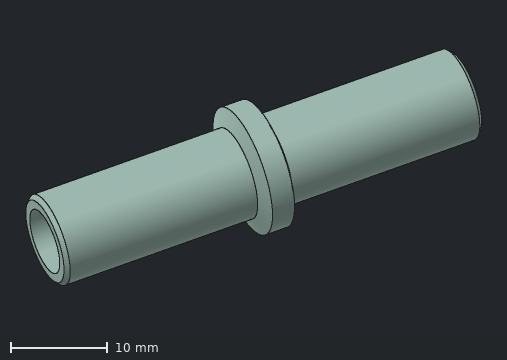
import cadquery as cq

length = 48.0
tube_diameter = 10.0
bore_diameter = 7.0
end_chamfer = 0.5
collar_diameter = 14.0
collar_base_width = 4.0
collar_rim_width = 2.55


def centred_cylinder(diameter, height):
    """Solid cylinder along Y, centred on the origin."""
    return cq.Workplane("XZ").circle(diameter / 2).extrude(height / 2, both=True)


def collar():
    """Central ring whose flanks taper from the tube surface out to the rim."""
    tube_radius = tube_diameter / 2
    rim_radius = collar_diameter / 2
    half_base = collar_base_width / 2
    half_rim = collar_rim_width / 2
    profile = [
        (0, -half_base),
        (tube_radius, -half_base),
        (rim_radius, -half_rim),
        (rim_radius, half_rim),
        (tube_radius, half_base),
        (0, half_base),
    ]
    return cq.Workplane("XY").polyline(profile).close().revolve(360, (0, 0, 0), (0, 1, 0))


tube = centred_cylinder(tube_diameter, length).faces("<Y or >Y").chamfer(end_chamfer)

bore = centred_cylinder(bore_diameter, length)
result = tube.union(collar()).cut(bore)